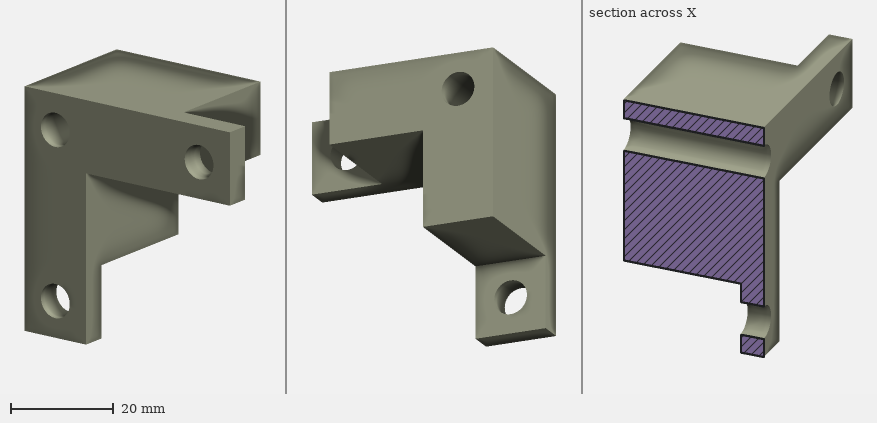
import cadquery as cq

flange_length = 50.0
leg_width = 15.0
flange_thickness = 5.0
total_depth = 30.0
hole_diameter = 7.0

body_length = flange_length - leg_width
hole_inset = leg_width / 2
far_hole = flange_length - hole_inset


def angle_prism(length, depth):
    """L-shaped prism with its outer corner at X = 0, Z = 0, legs toward +X and -Z, front face at Y = 0."""
    outline = [
        (0, 0),
        (length, 0),
        (length, -leg_width),
        (leg_width, -leg_width),
        (leg_width, -length),
        (0, -length),
    ]
    return cq.Workplane("XZ").polyline(outline).close().extrude(-depth)


def hole_cutters():
    """Cylinders through the full depth at the corner and near both flange tips."""
    centers = [
        (hole_inset, -hole_inset),
        (far_hole, -hole_inset),
        (hole_inset, -far_hole),
    ]
    return cq.Workplane("XZ").pushPoints(centers).circle(hole_diameter / 2).extrude(-total_depth)


flange = angle_prism(flange_length, flange_thickness)
body = angle_prism(body_length, total_depth)
result = flange.union(body).cut(hole_cutters())